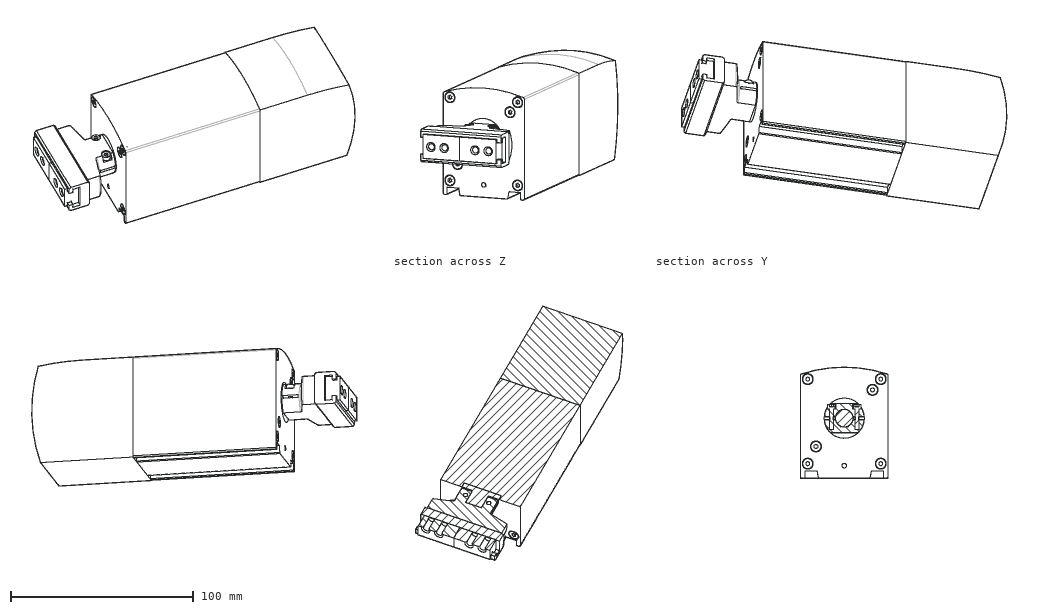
import cadquery as cq
import math


width = 48.0
height = 61.0
arch_radius = 75.0
housing_length = 80.2
cover_length = 56.8
top_edge_fillet = 1.0
bottom_edge_chamfer = 0.7

cover_straight_length = 28.3
cover_back_radius = 91.0
cover_bend_radius = 155.0
cover_bend_angle = 16.0
cover_apex_z = 29.5

groove_outer_x = 21.6
groove_top_x = 14.9
groove_bottom_x = 14.2
groove_height = 4.2
groove_mouth_chamfer = 0.5

face_screw_recess = 6.0
face_screw_head = 5.5
face_screw_hex = 2.01
face_screw_depth = 2.0
corner_screw_x = 20.0
corner_screw_zs = (8.1, 54.4)
flange_screw_offset = 15.5
pilot_diameter = 2.5
pilot_depth = 5.0
pilot_z = 7.0

axis_z = 33.0
flange_diameter = 22.0
flange_thickness = 3.0
shaft_diameter = 10.0
shaft_reach = 9.4

hub_gap = 0.5
hub_radius = 11.0
hub_length = 10.9
hub_fillet = 1.0
hub_half_height = 8.1
plate_radius = 22.5
plate_edge_chamfer = 0.2
plate_shoulder_y = 13.9
plate_edge_y = 14.7
slit_width = 1.5

clamp_x = 7.0
clamp_y = -4.4
clamp_head_diameter = 4.5
clamp_head_height = 2.5
clamp_recess_diameter = 5.0
clamp_recess_depth = 3.0
clamp_shank_diameter = 2.01
clamp_shank_end = 6.0
clamp_hex = 2.01
clamp_hex_depth = 1.2

guide_width = 47.4
guide_half_height = 9.1
guide_back_y = 21.5
guide_front_y = 33.7
guide_chamfer = 1.0
slot_back_y = 27.1
lip_back_y = 31.4
slot_half_height = 7.0
lip_half_height = 4.7

jaw_length = 21.6
jaw_front_y = 35.4
jaw_face_half_height = 6.7
jaw_clearance = 0.1
jaw_hole_xs = (9.1, 16.9)
jaw_hole_diameter = 3.4
jaw_countersink_diameter = 5.0
jaw_hole_depth = 8.0
countersink_angle = 90.0


def arch_z(x):
    """Height of the arched top at distance x from the middle plane."""
    return height - arch_radius + math.sqrt(arch_radius**2 - x**2)


def arched_outline(bottom_z, y):
    """Cross-section with straight sides and an arched top, drawn in the plane at y."""
    half = width / 2
    shoulder_z = arch_z(half)
    return (
        cq.Workplane("XZ", origin=(0, y, 0))
        .moveTo(-half, bottom_z)
        .lineTo(half, bottom_z)
        .lineTo(half, shoulder_z)
        .threePointArc((0, height), (-half, shoulder_z))
        .close()
    )


def front_plane(y=0.0):
    """Work plane facing -Y with its origin on the shaft axis."""
    return cq.Workplane("XZ", origin=(0, y, axis_z))


def hex_points(across_flats):
    """Corners of a hexagon with one corner straight up."""
    corner_radius = across_flats / 2 / math.cos(math.radians(30))
    angles = [math.radians(30 + 60 * corner) for corner in range(6)]
    return [(corner_radius * math.cos(angle), corner_radius * math.sin(angle)) for angle in angles]


def groove(side):
    """Longitudinal groove in the underside; side is -1 or 1."""
    points = [
        (groove_outer_x + groove_mouth_chamfer, 0),
        (groove_outer_x, groove_mouth_chamfer),
        (groove_outer_x, groove_height),
        (groove_top_x, groove_height),
        (groove_bottom_x, groove_mouth_chamfer),
        (groove_bottom_x - groove_mouth_chamfer, 0),
    ]
    outline = [(side * x, z) for x, z in points]
    return cq.Workplane("XZ").polyline(outline).close().extrude(-housing_length)


def face_screw_recesses(places):
    """Clearance ring and hexagon socket of each screw head set into the front face."""
    recesses = (
        front_plane()
        .pushPoints(places)
        .circle(face_screw_recess / 2)
        .circle(face_screw_head / 2)
        .extrude(-face_screw_depth)
    )
    socket = front_plane().polyline(hex_points(face_screw_hex)).close().extrude(-face_screw_depth)
    for x, z in places:
        recesses = recesses.union(socket.translate((x, 0, z)))
    return recesses


def build_housing():
    body = arched_outline(0, 0).extrude(-housing_length)
    shoulder_z = arch_z(width / 2)
    for x in (-width / 2, width / 2):
        top_edge = cq.NearestToPointSelector((x, housing_length / 2, shoulder_z))
        body = body.edges(top_edge).fillet(top_edge_fillet)
    body = body.edges("|Y and <Z").chamfer(bottom_edge_chamfer)
    for side in (-1, 1):
        body = body.cut(groove(side))
    corners = [(side * corner_screw_x, z - axis_z) for side in (-1, 1) for z in corner_screw_zs]
    flange_screws = [(side * flange_screw_offset, side * flange_screw_offset) for side in (-1, 1)]
    body = body.cut(face_screw_recesses(corners + flange_screws))
    flange_bore = front_plane().circle(flange_diameter / 2).extrude(-flange_thickness)
    pilot = front_plane().center(0, pilot_z - axis_z).circle(pilot_diameter / 2).extrude(-pilot_depth)
    return body.cut(flange_bore).cut(pilot)


def build_cover():
    """Straight arched length, then the same section bent downwards, with a rounded back."""
    bend_y = housing_length + cover_straight_length
    back_y = housing_length + cover_length
    straight = arched_outline(0, housing_length).extrude(-cover_straight_length)
    bend_axis_z = height - cover_bend_radius
    bent = arched_outline(-height / 2, bend_y).revolve(
        cover_bend_angle, (0, bend_axis_z, 0), (-1, bend_axis_z, 0)
    )
    back_cylinder = (
        cq.Workplane("YZ", origin=(-width / 2, back_y - cover_back_radius, cover_apex_z))
        .circle(cover_back_radius)
        .extrude(width)
    )
    above_base = cq.Workplane("XY", origin=(0, back_y, 0)).rect(2 * width, 2 * cover_length).extrude(height)
    return straight.union(bent.intersect(above_base)).intersect(back_cylinder)


def build_shaft():
    flange = front_plane().circle(flange_diameter / 2).extrude(-flange_thickness)
    return flange.union(front_plane().circle(shaft_diameter / 2).extrude(shaft_reach))


def build_clamp_screw(x):
    """Socket-head screw pointing down, its head inside the recess of the hub."""
    seat_z = axis_z + hub_half_height - clamp_recess_depth
    seat = cq.Workplane("XY", origin=(x, clamp_y, seat_z))
    head = seat.circle(clamp_head_diameter / 2).extrude(clamp_head_height)
    shank = seat.circle(clamp_shank_diameter / 2).extrude(axis_z - clamp_shank_end - seat_z)
    socket = (
        seat.workplane(offset=clamp_head_height)
        .polyline(hex_points(clamp_hex))
        .close()
        .extrude(-clamp_hex_depth)
    )
    return head.union(shank).cut(socket)


def clamp_recess(side):
    """Round-ended recess for a clamp screw head, open to the side of the hub."""
    level = cq.Workplane("XY", origin=(side * clamp_x, clamp_y, axis_z + hub_half_height))
    pocket = level.circle(clamp_recess_diameter / 2).extrude(-clamp_recess_depth)
    opening = (
        level.center(side * hub_radius / 2, 0)
        .rect(hub_radius, clamp_recess_diameter)
        .extrude(-clamp_recess_depth)
    )
    return pocket.union(opening)


def build_hub(clamp_screws):
    """Turned hub widening to a plate, flattened above and below and slit for clamping."""
    profile = [
        (-hub_gap, 0),
        (-hub_gap, hub_radius),
        (-hub_length, hub_radius),
        (-plate_shoulder_y, plate_radius - plate_edge_chamfer),
        (-plate_edge_y, plate_radius),
        (-guide_back_y, plate_radius),
        (-guide_back_y, 0),
    ]
    turned = cq.Workplane("YZ").polyline(profile).close().revolve(360, (0, 0, 0), (1, 0, 0))
    hub_corner = cq.selectors.BoxSelector(
        (-width, -hub_length - hub_fillet, -hub_radius - hub_fillet),
        (width, -hub_length + hub_fillet, hub_radius + hub_fillet),
        boundingbox=True,
    )
    turned = turned.edges(hub_corner).fillet(hub_fillet)
    flats = cq.Workplane("XY").box(2 * width, 2 * guide_back_y, 2 * hub_half_height)
    hub = turned.intersect(flats).translate((0, 0, axis_z))

    bore = front_plane().circle(shaft_diameter / 2).extrude(shaft_reach)
    slit = front_plane().rect(2 * hub_radius, slit_width).extrude(shaft_reach)
    hub = hub.cut(bore).cut(slit)
    for side in (-1, 1):
        hub = hub.cut(clamp_recess(side))
    for screw in clamp_screws:
        hub = hub.cut(screw)
    return hub


def build_guide():
    """Rail across the hub, with a C-shaped slot open to the front and at both ends."""
    block = (
        front_plane(-guide_back_y)
        .rect(guide_width, 2 * guide_half_height)
        .extrude(guide_front_y - guide_back_y)
        .edges("|X")
        .chamfer(guide_chamfer)
    )
    slot = (
        front_plane(-slot_back_y)
        .rect(guide_width, 2 * slot_half_height)
        .extrude(lip_back_y - slot_back_y)
    )
    mouth = (
        front_plane(-lip_back_y)
        .rect(guide_width, 2 * lip_half_height)
        .extrude(guide_front_y - lip_back_y)
    )
    return block.cut(slot).cut(mouth)


def build_jaw(side):
    """Sliding jaw held in the slot of the guide; side is -1 or 1."""
    layers = [
        (slot_back_y, lip_back_y - jaw_clearance, slot_half_height - jaw_clearance),
        (lip_back_y - jaw_clearance, guide_front_y + jaw_clearance, lip_half_height - jaw_clearance),
        (guide_front_y + jaw_clearance, jaw_front_y, jaw_face_half_height),
    ]
    jaw = cq.Workplane("XZ")
    for back_y, front_y, half_height in layers:
        layer = (
            front_plane(-back_y)
            .center(side * jaw_length / 2, 0)
            .rect(jaw_length, 2 * half_height)
            .extrude(front_y - back_y)
        )
        jaw = jaw.union(layer)
    return (
        jaw.faces("<Y")
        .workplane(origin=(0, -jaw_front_y, axis_z))
        .pushPoints([(side * x, 0) for x in jaw_hole_xs])
        .cskHole(jaw_hole_diameter, jaw_countersink_diameter, countersink_angle, jaw_hole_depth)
    )


housing = build_housing()
cover = build_cover()
shaft = build_shaft()
clamp_screws = [build_clamp_screw(side * clamp_x) for side in (-1, 1)]
hub = build_hub(clamp_screws)
guide = build_guide()
jaws = [build_jaw(side) for side in (-1, 1)]

result = cq.Compound.makeCompound(
    [housing.val(), cover.val(), shaft.val(), hub.val(), guide.val()]
    + [screw.val() for screw in clamp_screws]
    + [jaw.val() for jaw in jaws]
)